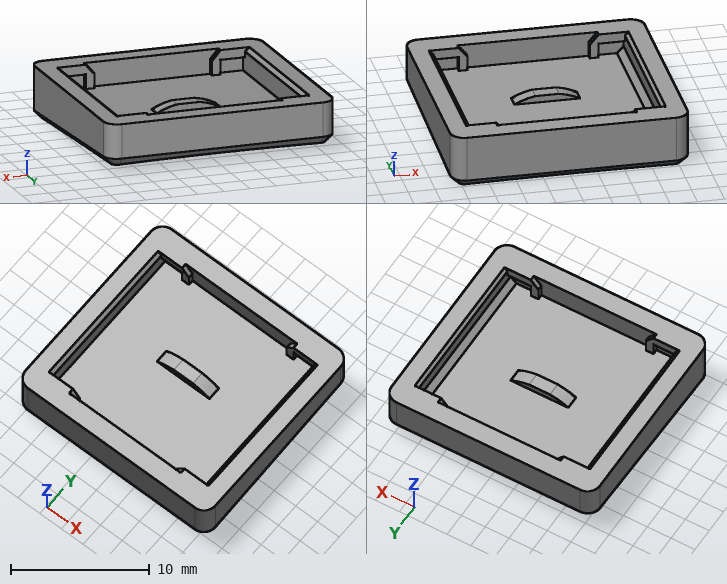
import cadquery as cq
import math

length = 17.5
width = 16.5
corner_radius = 1.05
front_height = 4.05
back_height = 3.2
edge_chamfer = 0.61
dish_radius = 262.5
dish_rise = 0.23

pocket_depth = 1.84
opening_length = 14.7
opening_width = 12.53
inner_width = 13.37
right_wall_x = 7.09
left_wall_x = -7.04
floor_slope = 0.49

lip_thickness = 0.74
lip_gap_length = 10.29
post_length = 0.63

rib_length = 4.83
rib_flat_length = 1.75
rib_height = 0.52
rib_thickness = 1.08
rib_bulge = 0.07


def make_prism(points, y_back, depth):
    """Extrude an XZ outline from y_back toward -Y."""
    return cq.Workplane("XZ", origin=(0, y_back, 0)).polyline(points).close().extrude(depth)


def make_body():
    half = width / 2
    side = [(-half, 0), (half, 0), (half, -back_height), (-half, -front_height)]
    body = cq.Workplane("YZ").polyline(side).close().extrude(length / 2, both=True)
    body = body.edges("|Z").fillet(corner_radius)
    body = body.faces("<Z").edges().chamfer(edge_chamfer)

    tilt = math.atan2(front_height - back_height, width)
    reach = dish_radius - dish_rise
    mid_height = (front_height + back_height) / 2
    centre = (0, reach * math.sin(tilt), -mid_height - reach * math.cos(tilt))
    dish = cq.Workplane("XY").sphere(dish_radius).translate(centre)
    return body.cut(dish)


def make_pocket():
    inner = [
        (left_wall_x, 0),
        (right_wall_x, 0),
        (right_wall_x, floor_slope - pocket_depth),
        (right_wall_x - floor_slope, -pocket_depth),
        (left_wall_x, -pocket_depth),
    ]
    pocket_y = inner_width / 2
    cavity = make_prism(inner, pocket_y, inner_width)

    half_opening = opening_length / 2
    mouth = [
        (-half_opening, 0),
        (half_opening, 0),
        (right_wall_x, right_wall_x - half_opening),
        (left_wall_x, -half_opening - left_wall_x),
    ]
    mouth_y = opening_width / 2
    lead_in = make_prism(mouth, mouth_y, opening_width)
    pocket = cavity.union(lead_in)

    gap_x = lip_gap_length / 2
    post_x = gap_x - post_length
    lip_depth = (inner_width - opening_width) / 2
    for side in (-1, 1):
        outline = [
            (side * length / 2, 0),
            (side * gap_x, 0),
            (side * post_x, -lip_thickness),
            (side * post_x, -pocket_depth),
            (side * gap_x, -pocket_depth),
            (side * gap_x, -lip_thickness),
            (side * length / 2, -lip_thickness),
        ]
        for y_back in (-mouth_y, pocket_y):
            pocket = pocket.cut(make_prism(outline, y_back, lip_depth))
    return pocket


def make_rib():
    end_x = rib_length / 2
    flat_x = rib_flat_length / 2
    run = end_x - flat_x
    slope_length = math.hypot(run, rib_height)
    bulge_x = (end_x + flat_x) / 2 + rib_bulge * rib_height / slope_length
    bulge_z = rib_height / 2 + rib_bulge * run / slope_length
    return (
        cq.Workplane("XZ", origin=(0, rib_thickness, -pocket_depth))
        .moveTo(-end_x, 0)
        .threePointArc((-bulge_x, bulge_z), (-flat_x, rib_height))
        .lineTo(flat_x, rib_height)
        .threePointArc((bulge_x, bulge_z), (end_x, 0))
        .close()
        .extrude(rib_thickness)
    )


result = make_body().cut(make_pocket()).union(make_rib())